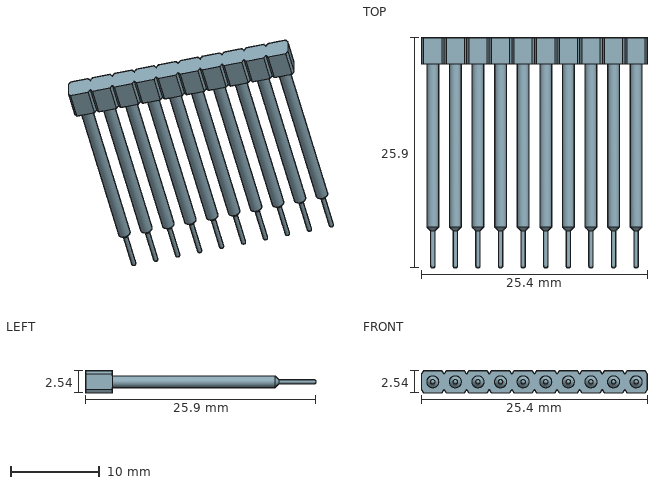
import cadquery as cq

pin_count = 10
pitch = 2.54
overall_depth = 25.91

body_height = pitch
body_depth = 3.0
bevel_width = 0.25
bevel_height = 0.4

barrel_radius = 0.675
barrel_end = 21.29
taper_length = 0.43
tail_radius = 0.255

first_pin_x = -(pin_count - 1) * pitch / 2
cell_centers = [first_pin_x + index * pitch for index in range(pin_count)]


def make_cell(center_x):
    """One body block with bevelled corners; neighbouring bevels meet as V notches."""
    side_x = pitch / 2
    flat_x = side_x - bevel_width
    top_z = body_height / 2
    side_z = top_z - bevel_height
    outline = [
        (flat_x, top_z),
        (side_x, side_z),
        (side_x, -side_z),
        (flat_x, -top_z),
        (-flat_x, -top_z),
        (-side_x, -side_z),
        (-side_x, side_z),
        (-flat_x, top_z),
    ]
    return (
        cq.Workplane("XZ")
        .polyline(outline)
        .close()
        .extrude(body_depth)
        .translate((center_x, 0, 0))
    )


def make_pin(center_x):
    """Revolved pin: barrel, conical shoulder, thin tail and hemispherical tip."""
    root_y = -body_depth / 2
    shoulder_y = -barrel_end
    tail_y = shoulder_y - taper_length
    tip_y = -overall_depth
    return (
        cq.Workplane("XY")
        .moveTo(0, root_y)
        .lineTo(barrel_radius, root_y)
        .lineTo(barrel_radius, shoulder_y)
        .lineTo(tail_radius, tail_y)
        .lineTo(tail_radius, tip_y + tail_radius)
        .radiusArc((0, tip_y), tail_radius)
        .close()
        .revolve(360, (0, 0, 0), (0, 1, 0))
        .translate((center_x, 0, 0))
    )


def make_body():
    """All cells joined side by side into one bar."""
    body = make_cell(cell_centers[0])
    for center_x in cell_centers[1:]:
        body = body.union(make_cell(center_x))
    return body.clean()


result = make_body()
for pin_x in cell_centers:
    result = result.union(make_pin(pin_x))